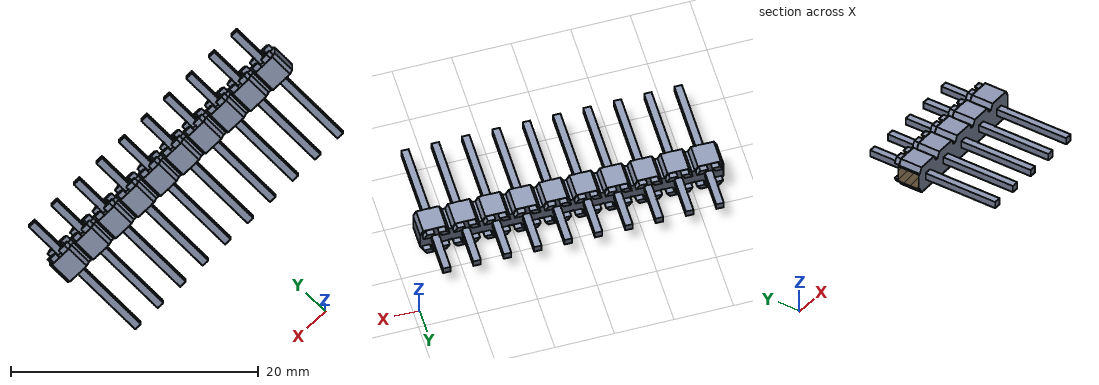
import cadquery as cq

pin_count = 10
pitch = 2.55
pin_size = 0.64
pin_front_length = 6.75
pin_rear_length = 3.35

body_length = pin_count * pitch
body_depth = 2.03
body_height = 2.55
notch_mouth = 0.75
end_chamfer = 0.25
notch_floor = 0.25
notch_depth = 0.5

foot_depth = 0.45
foot_outer = 1.1
foot_shoulder = 0.81
foot_inner = 0.18
foot_top = 1.22
foot_slant = foot_outer - foot_shoulder

body_top = body_height / 2
notch_bottom = body_top - notch_depth
pin_places = [(i - (pin_count - 1) / 2) * pitch for i in range(pin_count)]


def extrude_rearward(outline, start, depth):
    """Extrude a closed XZ outline from Y = start towards +Y."""
    return cq.Workplane("XZ", origin=(0, start, 0)).polyline(outline).close().extrude(-depth)


def make_body():
    """Body profile: flat-topped blocks parted by flat-floored tapered notches, chamfered at both ends."""
    top_edge = [(-body_length / 2, notch_bottom), (-body_length / 2 + end_chamfer, body_top)]
    for x in pin_places[:-1]:
        notch_center = x + pitch / 2
        top_edge += [
            (notch_center - notch_mouth / 2, body_top),
            (notch_center - notch_floor / 2, notch_bottom),
            (notch_center + notch_floor / 2, notch_bottom),
            (notch_center + notch_mouth / 2, body_top),
        ]
    top_edge += [(body_length / 2 - end_chamfer, body_top), (body_length / 2, notch_bottom)]
    bottom_edge = [(x, -z) for x, z in reversed(top_edge)]
    return extrude_rearward(top_edge + bottom_edge, 0, body_depth)


def make_foot(x, side_x, side_z):
    """One foot with both flanks slanting; side_x and side_z (+1 or -1) choose the corner."""
    corners = [
        (foot_inner + foot_slant, notch_bottom),
        (foot_outer, notch_bottom),
        (foot_shoulder, foot_top),
        (foot_inner, foot_top),
    ]
    outline = [(x + side_x * u, side_z * z) for u, z in corners]
    return extrude_rearward(outline, body_depth, foot_depth)


def make_pin(x):
    """Square pin running through the body and standing out on both faces."""
    length = pin_front_length + body_depth + pin_rear_length
    pin = cq.Workplane("XY").box(pin_size, length, pin_size, centered=(True, False, True))
    return pin.translate((x, -pin_front_length, 0))


result = make_body()
for x in pin_places:
    result = result.union(make_pin(x))
    for side_x in (-1, 1):
        for side_z in (-1, 1):
            result = result.union(make_foot(x, side_x, side_z))